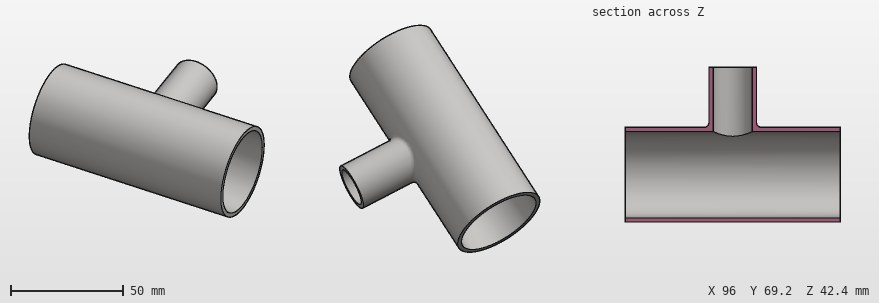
import cadquery as cq

wall = 2.0
run_diameter = 42.4
run_length = 96.0
branch_diameter = 21.3
branch_reach = 48.0
weld_radius = 2.0

run_radius = run_diameter / 2
branch_radius = branch_diameter / 2


def run_cylinder(radius):
    """Solid cylinder along X, centred on the origin."""
    return cq.Workplane("YZ").circle(radius).extrude(run_length / 2, both=True)


def branch_cylinder(radius):
    """Solid cylinder from the run axis out along +Y."""
    return cq.Workplane("XZ").circle(radius).extrude(-branch_reach)


def outer_body():
    """Both pipes as solid bars, with the saddle-shaped joint filleted."""
    bars = run_cylinder(run_radius).union(branch_cylinder(branch_radius))
    joint_zone = cq.selectors.BoxSelector(
        (-branch_diameter, 0, -branch_diameter),
        (branch_diameter, run_radius + weld_radius, branch_diameter),
        boundingbox=True,
    )
    return bars.edges(joint_zone).fillet(weld_radius)


run_bore = run_cylinder(run_radius - wall)
branch_bore = branch_cylinder(branch_radius - wall)

result = outer_body().cut(run_bore).cut(branch_bore)